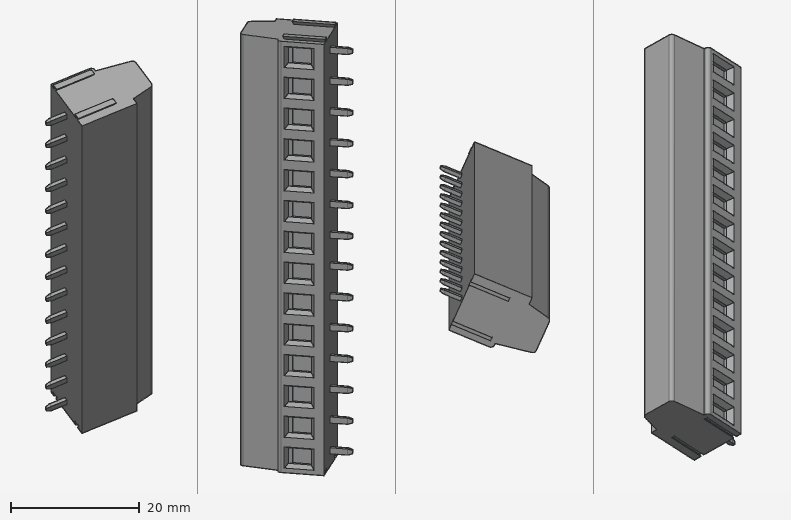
import cadquery as cq

pole_count = 14
body_width = 10.0
body_depth = 13.8
body_height = 71.15
overall_height = 71.7
pole_pitch = body_height / pole_count

shoulder_depth = 7.45
shoulder_width = 0.85
shoulder_rounding = 0.65
top_left = 1.9
top_right = 7.9
top_rounding = 0.65
ledge_x = 8.8
ledge_depth = 9.75

rib_height = overall_height - body_height
rib_centers = (1.3, 8.25)
rib_tip_length = 6.75
rib_tip_width = 1.1
rib_neck_width = 0.4
rib_end_undercut = 0.2
groove_clearance = 0.1

entry_low = 1.6
entry_high = 6.3
entry_height = 3.5
throat_low = 2.2
throat_high = 5.9
throat_height = 2.6
funnel_depth = 1.0
ramp_end = 5.2
ramp_rise = 0.2
floor_depth = 1.5

pin_x = 4.8
pin_length = 3.5
pin_thickness = 0.65
pin_width = 1.0
pin_tip_length = 0.7
pin_tip_scale = 0.6


def housing():
    block = (
        cq.Workplane("XY")
        .polyline([
            (0, 0),
            (body_width, 0),
            (body_width, ledge_depth),
            (ledge_x, ledge_depth),
            (top_right, body_depth),
            (top_left, body_depth),
            (shoulder_width, shoulder_depth),
            (0, shoulder_depth),
        ])
        .close()
        .extrude(body_height)
    )
    block = block.edges("|Z").edges(">Y").fillet(top_rounding)
    shoulder_edge = cq.selectors.NearestToPointSelector((0, shoulder_depth, body_height / 2))
    return block.edges(shoulder_edge).fillet(shoulder_rounding)


def dovetail(center_x, base_z, clearance=0):
    """Bar that widens upward, flush with the board face and undercut at its far end."""
    tip_length = rib_tip_length + clearance
    neck_length = tip_length - rib_end_undercut
    return (
        cq.Workplane("XY", origin=(center_x, neck_length / 2, base_z))
        .rect(rib_neck_width + 2 * clearance, neck_length)
        .workplane(offset=rib_height)
        .center(0, rib_end_undercut / 2)
        .rect(rib_tip_width + 2 * clearance, tip_length)
        .loft(ruled=True)
    )


def wire_entry(center_z):
    entry_y = (entry_low + entry_high) / 2
    throat_y = (throat_low + throat_high) / 2
    funnel = (
        cq.Workplane("YZ")
        .center(entry_y, center_z)
        .rect(entry_high - entry_low, entry_height)
        .workplane(offset=funnel_depth)
        .center(throat_y - entry_y, 0)
        .rect(throat_high - throat_low, throat_height)
        .loft(ruled=True)
    )
    throat = (
        cq.Workplane("XY", origin=(0, 0, center_z - throat_height / 2))
        .polyline([
            (funnel_depth, throat_low),
            (floor_depth, throat_low),
            (floor_depth, ramp_end),
            (funnel_depth + ramp_rise, ramp_end),
            (funnel_depth, throat_high),
        ])
        .close()
        .extrude(throat_height)
    )
    return funnel.union(throat)


def pin(center_z):
    shank_length = pin_length - pin_tip_length
    start = cq.Workplane("XZ").center(pin_x, center_z)
    shank = start.rect(pin_thickness, pin_width).extrude(shank_length)
    tip = (
        start.workplane(offset=shank_length)
        .rect(pin_thickness, pin_width)
        .workplane(offset=pin_tip_length)
        .rect(pin_thickness * pin_tip_scale, pin_width * pin_tip_scale)
        .loft(ruled=True)
    )
    return shank.union(tip)


result = housing()
for rib_x in rib_centers:
    result = result.cut(dovetail(rib_x, 0, groove_clearance))
    result = result.union(dovetail(rib_x, body_height))
for pole in range(pole_count):
    pole_z = (pole + 0.5) * pole_pitch
    result = result.cut(wire_entry(pole_z))
    result = result.union(pin(pole_z))